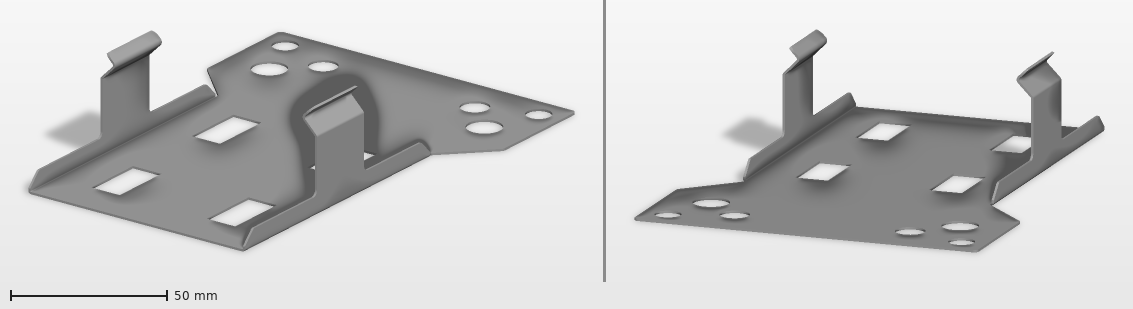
import cadquery as cq
import math

thickness = 0.8
bend_inner = 0.3
bend_outer = bend_inner + thickness

length = 158.8
head_width = 117.5
front_y = -length / 2
back_y = length / 2
head_side_y = 39.7
neck_x = 42.0
neck_y = head_side_y - (head_width / 2 - neck_x)
corner_radius = 1.6

wall_x = 42.9
wall_back_y = 21.5
wall_height = 6.7
wall_chamfer = 4.8
wall_corner_radius = 1.6

clip_width = 25.5
clip_y = -27.3
clip_root_radius = 2.0
clip_tip_radius = 2.0
clip_height = 36.4
clip_nose_x = 37.1
clip_nose_z = 32.5
nose_inner = 0.8
nose_outer = nose_inner + thickness

head_holes = [(50.2, 70.5, 8.7), (30.0, 63.5, 9.8), (42.5, 51.5, 12.0)]

window_width = 11.3
window_length = 22.7
window_x = 22.9
window_ys = (1.1, -53.5)

tolerance = 0.02


def make_plate():
    """Flat sheet; the body stops where the wall bends begin."""
    half_head = head_width / 2
    body_x = wall_x - bend_outer
    right_side = [
        (body_x, front_y),
        (body_x, wall_back_y),
        (neck_x, wall_back_y),
        (neck_x, neck_y),
        (half_head, head_side_y),
        (half_head, back_y),
    ]
    left_side = [(-x, y) for x, y in reversed(right_side)]
    plate = cq.Workplane("XY").polyline(right_side + left_side).close().extrude(thickness)
    head_corners = cq.selectors.BoxSelector(
        (-length, head_side_y - corner_radius, -1.6), (length, length, 1.6)
    )
    return plate.edges("|Z").edges(head_corners).fillet(corner_radius)


def cut_openings(plate):
    for side in (-1, 1):
        for x, y, diameter in head_holes:
            hole = cq.Workplane("XY").center(side * x, y).circle(diameter / 2).extrude(thickness)
            plate = plate.cut(hole)
        for y in window_ys:
            window = cq.Workplane("XY").center(side * window_x, y)
            plate = plate.cut(window.rect(window_width, window_length).extrude(thickness))
    return plate


def make_bent_strip():
    """Right-hand wall and clip section, swept along the whole wall length."""
    diagonal = math.sqrt(0.5)
    bend_start_x = wall_x - bend_outer
    inner_wall_x = wall_x - thickness
    nose_center_x = clip_nose_x + nose_outer

    concave_x = nose_center_x - nose_inner / diagonal
    convex_x = nose_center_x - nose_outer / diagonal

    outer_lean_z = clip_nose_z - (wall_x - concave_x)
    inner_lean_z = clip_nose_z - (inner_wall_x - convex_x)

    tip_x = convex_x + clip_height - clip_nose_z
    tip_step = thickness * diagonal

    section = (
        cq.Workplane("XZ", origin=(0, wall_back_y, 0))
        .moveTo(bend_start_x, 0)
        .radiusArc((wall_x, bend_outer), -bend_outer)
        .lineTo(wall_x, outer_lean_z)
        .lineTo(concave_x, clip_nose_z)
        .lineTo(tip_x + tip_step, clip_height - tip_step)
        .lineTo(tip_x, clip_height)
        .lineTo(convex_x, clip_nose_z)
        .lineTo(inner_wall_x, inner_lean_z)
        .lineTo(inner_wall_x, bend_outer)
        .radiusArc((bend_start_x, thickness), bend_inner)
        .close()
    )
    strip = section.extrude(wall_back_y - front_y)

    def round_bend(body, x, z, radius):
        corner = cq.selectors.BoxSelector(
            (x - tolerance, -length, z - tolerance), (x + tolerance, length, z + tolerance)
        )
        return body.edges("|Y").edges(corner).fillet(radius)

    strip = round_bend(strip, wall_x, outer_lean_z, bend_outer)
    strip = round_bend(strip, inner_wall_x, inner_lean_z, bend_inner)
    strip = round_bend(strip, concave_x, clip_nose_z, nose_inner)
    return round_bend(strip, convex_x, clip_nose_z, nose_outer)


def make_side_profile():
    """Side outline of a wall and its clip, as a block that trims the strip."""
    wall_length = wall_back_y - front_y
    wall_mid_y = (wall_back_y + front_y) / 2
    block_width = head_width / 2

    def block(y, width, height):
        return cq.Workplane("XY").center(block_width / 2, y).rect(block_width, width).extrude(height)

    wall = block(wall_mid_y, wall_length, wall_height)
    wall = wall.edges("|X and >Z").chamfer(wall_chamfer)
    wall = wall.edges("|X and >Z").fillet(wall_corner_radius)
    clip = block(clip_y, clip_width, clip_height).edges("|X and >Z").fillet(clip_tip_radius)
    profile = wall.union(clip)
    roots = cq.selectors.BoxSelector(
        (-1.6, clip_y - clip_width, wall_height - tolerance),
        (block_width + 1.6, clip_y + clip_width, wall_height + tolerance),
    )
    clip_sides = cq.selectors.BoxSelector(
        (-1.6, clip_y - clip_width / 2 - tolerance, 0),
        (block_width + 1.6, clip_y + clip_width / 2 + tolerance, clip_height),
    )
    return profile.edges("|X").edges(roots).edges(clip_sides).fillet(clip_root_radius)


right_wall = make_bent_strip().intersect(make_side_profile())
left_wall = right_wall.mirror("YZ")
result = cut_openings(make_plate()).union(right_wall).union(left_wall)